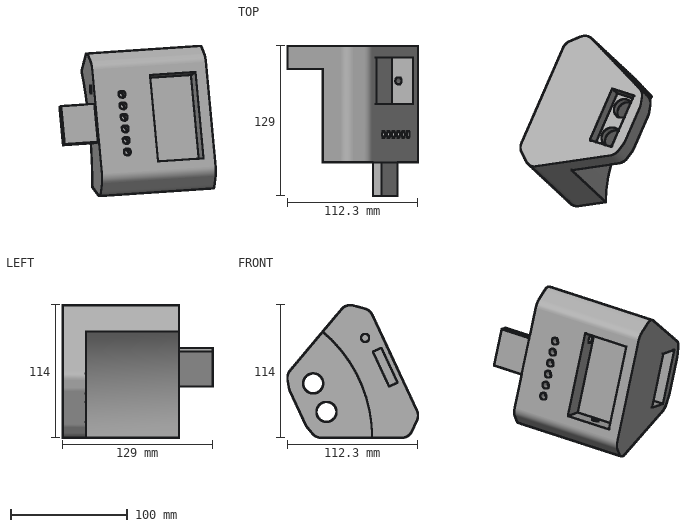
import cadquery as cq
import math

LEAN_ANGLE = 25.0

BODY_WIDTH = 91.9
OUTER_FACE_HEIGHT = 100.0
OUTER_CHAMFER_LENGTH = 21.2
OUTER_CHAMFER_ANGLE = 50.0
FLANK_LENGTH = 79.75
FLANK_ANGLE = 65.0
INNER_CHAMFER_ANGLE = 15.0
CORNER_RADIUS = 10.0
BODY_LENGTH = 100.0

PLATE_THICKNESS = 20.0
RECESS_RADIUS = 118.5
RECESS_CENTRE_X = -60.2

MOUNT_HOLE_DIAMETER = 17.0
MOUNT_HOLE_X = 21.0
MOUNT_HOLE_SPACING = 27.0

BACK_RECESS_WIDTH = 22.0
BACK_RECESS_HEIGHT = 49.0
BACK_RECESS_DEPTH = 12.0

TONGUE_THICKNESS = 8.0
TONGUE_HEIGHT = 33.0
TONGUE_LENGTH = 29.0
TONGUE_INSET = 5.0

POCKET_HEIGHT = 75.0
POCKET_LENGTH = 40.0
POCKET_DEPTH = 20.0
POCKET_BACK_MARGIN = 10.0

PASSAGE_INSET = 14.0
FRONT_PASSAGE_DIAMETER = 7.0
FRONT_PASSAGE_Z = 30.0
LOWER_PASSAGE_DIAMETER = 6.0
LOWER_PASSAGE_DEPTH = 15.0

ROW_HOLE_COUNT = 6
ROW_HOLE_DIAMETER = 6.0
ROW_HOLE_PITCH = 10.0
ROW_HOLE_DEPTH = 10.0
ROW_CENTRE_Z = -2.5
ROW_Y = 24.0

pocket_back_y = BODY_LENGTH - POCKET_BACK_MARGIN
pocket_centre_y = pocket_back_y - POCKET_LENGTH / 2
pocket_front_y = pocket_back_y - POCKET_LENGTH
recess_length = BODY_LENGTH - PLATE_THICKNESS
passage_x = BODY_WIDTH - PASSAGE_INSET


def box_between(x_min, x_max, y_min, y_max, height):
    """Box between the given X and Y limits, centred on local Z = 0."""
    return cq.Workplane("XY").box(x_max - x_min, y_max - y_min, height).translate(
        ((x_min + x_max) / 2, (y_min + y_max) / 2, 0)
    )


def cylinder(start, direction, diameter, length):
    """Round bar from a start point along a direction."""
    return cq.Workplane(
        cq.Solid.makeCylinder(diameter / 2, length, cq.Vector(*start), cq.Vector(*direction))
    )


def make_body():
    outer_angle = math.radians(OUTER_CHAMFER_ANGLE)
    flank_angle = math.radians(FLANK_ANGLE)
    inner_angle = math.radians(INNER_CHAMFER_ANGLE)
    outer_z = OUTER_FACE_HEIGHT / 2
    shoulder_x = BODY_WIDTH - OUTER_CHAMFER_LENGTH * math.sin(outer_angle)
    shoulder_z = outer_z + OUTER_CHAMFER_LENGTH * math.cos(outer_angle)
    flank_end_x = shoulder_x - FLANK_LENGTH * math.sin(flank_angle)
    flank_end_z = shoulder_z - FLANK_LENGTH * math.cos(flank_angle)
    inner_z = flank_end_z - flank_end_x / math.tan(inner_angle)
    upper_corners = [
        (0, inner_z),
        (flank_end_x, flank_end_z),
        (shoulder_x, shoulder_z),
        (BODY_WIDTH, outer_z),
    ]
    lower_corners = [(x, -z) for x, z in reversed(upper_corners)]
    return (
        cq.Workplane("XZ")
        .polyline(upper_corners + lower_corners)
        .close()
        .extrude(-BODY_LENGTH)
        .edges("|Y")
        .fillet(CORNER_RADIUS)
    )


def make_recess():
    return cylinder((RECESS_CENTRE_X, 0, 0), (0, 1, 0), 2 * RECESS_RADIUS, recess_length)


def make_tongue():
    outer_x = BODY_WIDTH - TONGUE_INSET
    return box_between(outer_x - TONGUE_THICKNESS, outer_x, -TONGUE_LENGTH, 0, TONGUE_HEIGHT)


def make_pocket():
    floor_x = BODY_WIDTH - POCKET_DEPTH
    return box_between(floor_x, BODY_WIDTH, pocket_front_y, pocket_back_y, POCKET_HEIGHT)


def make_front_passage():
    start = (passage_x, 0, FRONT_PASSAGE_Z)
    return cylinder(start, (0, 1, 0), FRONT_PASSAGE_DIAMETER, pocket_centre_y)


def make_lower_passage():
    start = (passage_x, pocket_centre_y, 0)
    length = POCKET_HEIGHT / 2 + LOWER_PASSAGE_DEPTH
    return cylinder(start, (0, 0, -1), LOWER_PASSAGE_DIAMETER, length)


def make_mount_hole(z):
    return cylinder((MOUNT_HOLE_X, 0, z), (0, 1, 0), MOUNT_HOLE_DIAMETER, BODY_LENGTH)


def make_back_recess():
    return box_between(
        MOUNT_HOLE_X - BACK_RECESS_WIDTH / 2,
        MOUNT_HOLE_X + BACK_RECESS_WIDTH / 2,
        BODY_LENGTH - BACK_RECESS_DEPTH,
        BODY_LENGTH,
        BACK_RECESS_HEIGHT,
    )


def make_row_hole(index):
    z = ROW_CENTRE_Z + (index - (ROW_HOLE_COUNT - 1) / 2) * ROW_HOLE_PITCH
    return cylinder((BODY_WIDTH, ROW_Y, z), (-1, 0, 0), ROW_HOLE_DIAMETER, ROW_HOLE_DEPTH)


part = make_body().cut(make_recess()).union(make_tongue())
part = part.cut(make_pocket())
part = part.cut(make_front_passage()).cut(make_lower_passage())
part = part.cut(make_back_recess())
for side in (-1, 1):
    part = part.cut(make_mount_hole(side * MOUNT_HOLE_SPACING / 2))
for index in range(ROW_HOLE_COUNT):
    part = part.cut(make_row_hole(index))

result = part.rotate((0, 0, 0), (0, 1, 0), -LEAN_ANGLE)